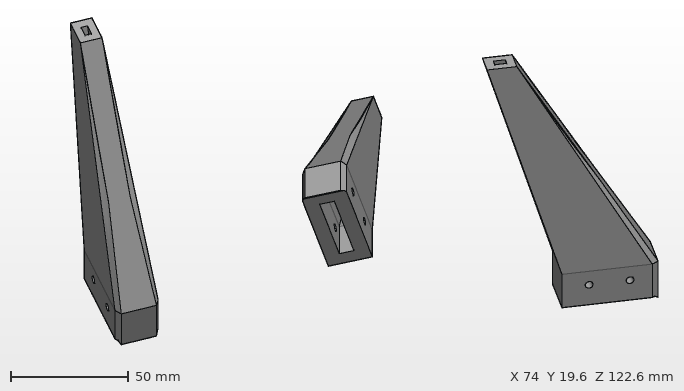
import cadquery as cq

length = 74.0
thickness = 19.6
height = 122.6

tip_length = 13.0
tip_thickness = 9.8
tip_rear_width = 1.0

base_start = 31.6
base_top = 18.3
base_bottom = 1.3
rear_bevel_length = 3.0
rear_bevel_depth = 1.8
rear_surplus = 2.5

lip_length = 1.7

hole_diameter = 3.3
hole_height = 11.4
hole_positions = (43.5, 61.4)

channel_start = 4.0
channel_length = 5.1
channel_width = 3.0

socket_start = 37.4
socket_length = 30.0
socket_width = 6.5


def rectangle(front, rear, width):
    """Plan rectangle, symmetric in Y, between two X positions."""
    half = width / 2
    return [(front, -half), (rear, -half), (rear, half), (front, half)]


def bevelled_outline(front, bevel_start, rear, width, rear_width):
    """Plan outline with bevelled rear corners and a tail that runs past the rear, to be trimmed off."""
    half = width / 2
    rear_half = rear_width / 2
    tail = rear + rear_surplus
    return [
        (front, -half),
        (bevel_start, -half),
        (rear, -rear_half),
        (tail, -rear_half),
        (tail, rear_half),
        (rear, rear_half),
        (bevel_start, half),
        (front, half),
    ]


def side_plate(profile, width):
    """Prism of an XZ profile, centred on Y = 0."""
    return cq.Workplane("XZ").polyline(profile).close().extrude(width / 2, both=True)


def loft_to_tip(lower_outline, upper_outline):
    """Straight-sided loft from the top of the base up to the tip."""
    return (
        cq.Workplane("XY", origin=(0, 0, base_top))
        .polyline(lower_outline).close()
        .workplane(offset=height - base_top)
        .polyline(upper_outline).close()
        .loft(ruled=True)
    )


base_outline = bevelled_outline(
    base_start, length - rear_bevel_length, length, thickness, thickness - 2 * rear_bevel_depth
)
tip_outline = bevelled_outline(0, tip_length, tip_length, tip_thickness, tip_rear_width)

core = loft_to_tip(
    rectangle(base_start, length + rear_surplus, tip_thickness),
    rectangle(0, tip_length + rear_surplus, tip_thickness),
)
blade = loft_to_tip(base_outline, tip_outline).union(core)

base = cq.Workplane("XY").polyline(base_outline).close().extrude(base_top)

profile = [
    (base_start, base_bottom),
    (length - lip_length, base_bottom),
    (length, 0),
    (length, base_top),
    (tip_length, height),
    (0, height),
    (base_start, base_top),
]
body = blade.union(base).intersect(side_plate(profile, thickness))

socket_outline = rectangle(socket_start, socket_start + socket_length, socket_width)
channel_outline = rectangle(channel_start, channel_start + channel_length, channel_width)
channel = loft_to_tip(socket_outline, channel_outline)
socket = cq.Workplane("XY").polyline(socket_outline).close().extrude(base_top)

cross_holes = (
    cq.Workplane("XZ")
    .pushPoints([(x, hole_height) for x in hole_positions])
    .circle(hole_diameter / 2)
    .extrude(thickness, both=True)
)

result = body.cut(channel).cut(socket).cut(cross_holes)